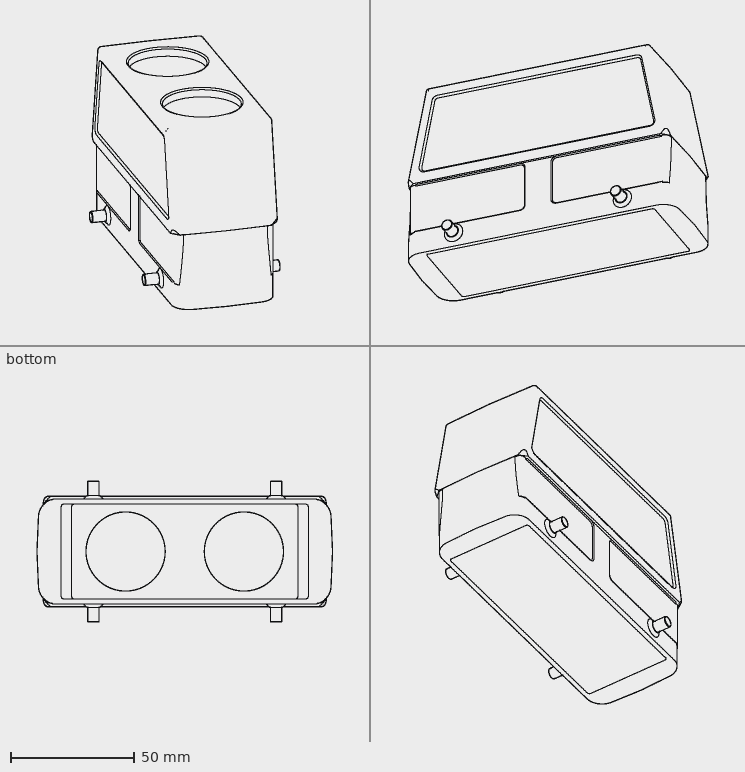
import cadquery as cq
import math

length = 120.0
height = 75.5
pin_span = 57.2
end_crown = 0.6

foot_height = 9.0
skirt_top = 32.2
skirt_length = 116.2
lower_width = 42.7
foot_corner = 7.5
skirt_corner = 4.0

upper_width = 44.9
roof_length = 99.1
upper_fillet = 1.7
roof_end_fillet = 1.3
relief_reach = 2.2
relief_rise = 4.0

cavity_width = 38.4
cavity_length = 100.2
cavity_corner = 1.0
cavity_straight_height = 50.0
roof_thickness = 3.8

entry_diameter = 32.0
entry_chamfer = 0.7
entry_x = 24.0

label_bottom = 36.6
label_top = 70.9
label_bottom_length = 104.6
label_top_length = 91.5
label_corner = 2.4
label_depth = 0.8

panel_bottom = 10.3
panel_gap = 11.3
panel_depth = 0.5
panel_corner = 2.4
core_length = 114.2
core_corner = 2.5

pin_x = 37.1
pin_z = 6.2
pin_diameter = 4.7
pin_chamfer = 0.2
boss_base_diameter = 8.0
boss_tip_diameter = 5.3
boss_height = 1.3

wall_angle = 45.0
clearance = 6.0


def plan_outline(outline_length, width, corner, rounded, z):
    """Plan outline at height z with pitched ends and rounded or bevelled corners.

    A corner size of zero leaves the corners sharp.
    """
    tip = outline_length / 2
    end = tip - end_crown
    side = width / 2
    flat_x = end - corner
    flat_y = side - corner
    bulge_x = flat_x + corner * math.sqrt(0.5)
    bulge_y = flat_y + corner * math.sqrt(0.5)
    outline = cq.Workplane("XY", origin=(0, 0, z)).moveTo(tip, 0)
    for x, y in ((1, 1), (-1, 1), (-1, -1), (1, -1)):
        end_point = (x * end, y * flat_y)
        side_point = (x * flat_x, y * side)
        bulge_point = (x * bulge_x, y * bulge_y)
        first, last = (end_point, side_point) if x == y else (side_point, end_point)
        outline = outline.lineTo(*first)
        if rounded:
            outline = outline.threePointArc(bulge_point, last)
        elif corner > 0:
            outline = outline.lineTo(*last)
        if (x, y) == (-1, 1):
            outline = outline.lineTo(-tip, 0)
    return outline.close().val()


def ruled_body(lower_outline, upper_outline):
    """Solid whose walls join matching edges of two outlines by straight lines."""
    walls = [
        cq.Face.makeRuledSurface(lower_edge, upper_edge)
        for lower_edge, upper_edge in zip(lower_outline.Edges(), upper_outline.Edges())
    ]
    caps = [cq.Face.makeFromWires(lower_outline), cq.Face.makeFromWires(upper_outline)]
    return cq.Workplane(cq.Solid.makeSolid(cq.Shell.makeShell(walls + caps)))


def both_sides(shape):
    """The shape together with its mirror image in Y."""
    return shape.union(shape.mirror("XZ"))


def both_ends(shape):
    """The shape together with its mirror image in X."""
    return shape.union(shape.mirror("YZ"))


def lower_body():
    bottom = plan_outline(length, lower_width, foot_corner, True, 0)
    foot_line = plan_outline(length, lower_width, foot_corner, True, foot_height)
    top = plan_outline(skirt_length, lower_width, skirt_corner, False, skirt_top)
    return ruled_body(bottom, foot_line).union(ruled_body(foot_line, top))


def skirt_core():
    """Upright block whose rounded corners stand out of the skirt's bevels."""
    return (
        cq.Workplane("XY", origin=(0, 0, panel_bottom))
        .rect(core_length, lower_width - 2 * panel_depth)
        .extrude(skirt_top - panel_bottom)
        .edges("|Z")
        .fillet(core_corner)
    )


def corner_reliefs():
    """Wedges that slant the underside of the upper body's four corners."""
    foot_x = skirt_length / 2 - end_crown
    wedge_plane = cq.Plane(
        origin=(-foot_x, -upper_width / 2, skirt_top), xDir=(-1, -1, 0), normal=(-1, 1, 0)
    )
    wedge = (
        cq.Workplane(wedge_plane)
        .polyline([(-relief_reach, 0), (relief_reach, 0), (relief_reach, 2 * relief_rise)])
        .close()
        .extrude(clearance, both=True)
    )
    return both_sides(both_ends(wedge))


def upper_body():
    body = ruled_body(
        plan_outline(skirt_length, upper_width, 0, False, skirt_top),
        plan_outline(roof_length, upper_width, 0, False, height),
    )
    middle_z = (skirt_top + height) / 2
    slanted_corners = [
        edge
        for edge in body.edges().vals()
        if abs(edge.Center().z - middle_z) < clearance and abs(edge.Center().y) > clearance
    ]
    roof_sides = body.faces(">Z").edges("|X").vals()
    body = cq.Workplane(body.val().fillet(upper_fillet, slanted_corners + roof_sides))
    roof_ends = body.faces(">Z").edges("not |X")
    return roof_ends.fillet(roof_end_fillet).cut(corner_reliefs())


def cavity():
    end_slope = (skirt_length - roof_length) / 2 / (height - skirt_top)
    ceiling = height - roof_thickness
    bottom_x = cavity_length / 2
    ceiling_x = bottom_x - end_slope * (ceiling - cavity_straight_height)
    return (
        cq.Workplane("XZ")
        .polyline([
            (-bottom_x, 0),
            (bottom_x, 0),
            (bottom_x, cavity_straight_height),
            (ceiling_x, ceiling),
            (-ceiling_x, ceiling),
            (-bottom_x, cavity_straight_height),
        ])
        .close()
        .extrude(cavity_width / 2, both=True)
        .edges("not(|X or |Y)")
        .fillet(cavity_corner)
    )


def entry_holes():
    hole_radius = entry_diameter / 2
    rim_radius = hole_radius + entry_chamfer
    floor = height - roof_thickness - clearance
    hole = (
        cq.Workplane("XZ", origin=(-entry_x, 0, 0))
        .polyline([
            (0, floor),
            (hole_radius, floor),
            (hole_radius, height - entry_chamfer),
            (rim_radius, height),
            (0, height),
        ])
        .close()
        .revolve(360, (0, 0, 0), (0, 1, 0))
    )
    return both_ends(hole)


def label_panels():
    panel = (
        cq.Workplane("XZ", origin=(0, -upper_width / 2, 0))
        .sketch()
        .polygon([
            (-label_bottom_length / 2, label_bottom),
            (label_bottom_length / 2, label_bottom),
            (label_top_length / 2, label_top),
            (-label_top_length / 2, label_top),
            (-label_bottom_length / 2, label_bottom),
        ])
        .vertices()
        .fillet(label_corner)
        .finalize()
        .extrude(-label_depth, taper=wall_angle)
    )
    return both_sides(panel)


def skirt_panels():
    side_y = -lower_width / 2
    inner_x = -panel_gap / 2
    middle_height = (skirt_top + panel_bottom) / 2
    panel_height = skirt_top - panel_bottom
    far_x = -length / 2 - clearance
    panel = (
        cq.Workplane("XZ", origin=((far_x + inner_x) / 2, side_y, middle_height))
        .sketch()
        .rect(inner_x - far_x, panel_height)
        .vertices()
        .fillet(panel_corner)
        .finalize()
        .extrude(-panel_depth, taper=wall_angle)
    )
    return both_sides(both_ends(panel))


def locking_pins():
    root_y = -(cavity_width + lower_width) / 4
    wall_y = -lower_width / 2
    boss_y = wall_y - boss_height
    tip_y = -pin_span / 2
    pin_radius = pin_diameter / 2
    pin = (
        cq.Workplane("XY", origin=(-pin_x, 0, pin_z))
        .polyline([
            (0, root_y),
            (boss_base_diameter / 2, root_y),
            (boss_base_diameter / 2, wall_y),
            (boss_tip_diameter / 2, boss_y),
            (pin_radius, boss_y),
            (pin_radius, tip_y + pin_chamfer),
            (pin_radius - pin_chamfer, tip_y),
            (0, tip_y),
        ])
        .close()
        .revolve(360, (0, 0, 0), (0, 1, 0))
    )
    return both_sides(both_ends(pin))


result = (
    upper_body()
    .cut(label_panels())
    .union(lower_body().cut(skirt_panels()).union(skirt_core()))
    .cut(cavity())
    .cut(entry_holes())
    .union(locking_pins())
)